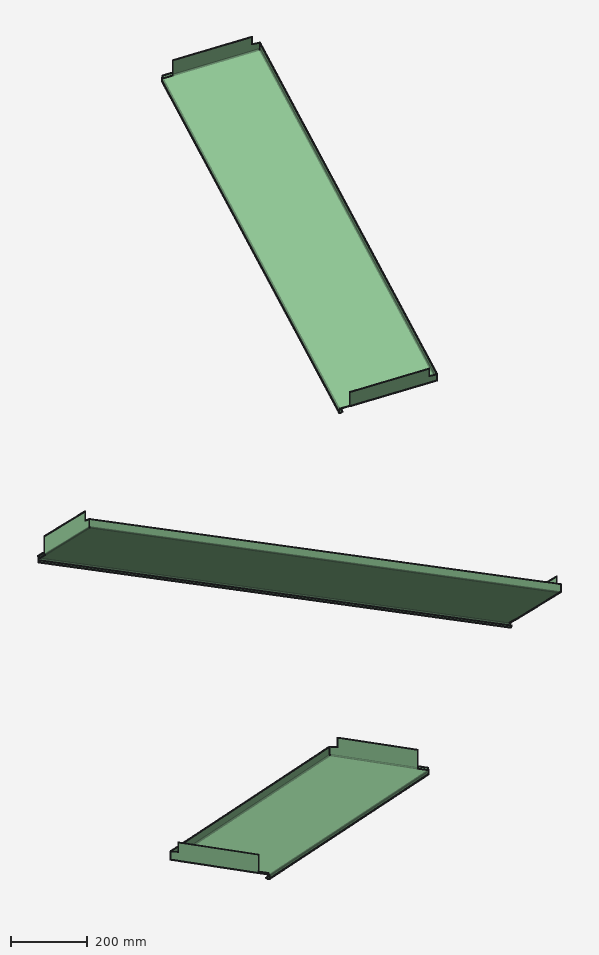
import math

import cadquery as cq

overall_width = 1414.8
overall_depth = 271.18
overall_height = 83.59

sheet = 1.0
inner_bend = 1.5
outer_bend = inner_bend + sheet

slope_angle = math.radians(5)
tray_width = 1410.0
tray_front = 30.0
back_step = 22.0
back_flange_top = 58.0

floor_front_height = 12.8
end_flange_rise = 5.0
end_flange_angle = math.radians(40)
return_length = 7.0
return_rise_angle = math.radians(30)

wall_back = overall_depth - back_step
floor_slope = math.tan(slope_angle)
vertical_sheet = sheet / math.cos(slope_angle)


def floor_top(y):
    """Height of the upper floor face at depth y."""
    return floor_front_height + y * floor_slope


def floor_bottom(y):
    """Height of the lower floor face at depth y."""
    return floor_top(y) - vertical_sheet


def wall_top(y):
    """Height of the side wall's upper edge, parallel to the floor."""
    return overall_height - (wall_back - y) * floor_slope


def side_prism(points, width):
    """Extrude a (y, z) outline along X, centred on X = 0."""
    return cq.Workplane("YZ").polyline(points).close().extrude(width / 2, both=True)


def floor_prism(front, back, upper_edge, width, floor_height, bend):
    """Solid above the sloping floor, rounded along the bottom of its sides and back."""
    outline = [(front, floor_height(front)), (back, floor_height(back))] + upper_edge
    prism = side_prism(outline, width)
    return prism.faces("<Z").edges("not(<Y)").fillet(bend)


def make_tray():
    upper_edge = [
        (overall_depth, back_flange_top),
        (wall_back, back_flange_top),
        (wall_back, wall_top(wall_back)),
        (tray_front, wall_top(tray_front)),
    ]
    outer = floor_prism(tray_front, overall_depth, upper_edge, tray_width, floor_bottom, outer_bend)

    hollow_back = overall_depth - sheet
    hollow_edge = [(hollow_back, overall_height), (0, overall_height)]
    hollow_width = tray_width - 2 * sheet
    hollow = floor_prism(0, hollow_back, hollow_edge, hollow_width, floor_top, inner_bend)
    return outer.cut(hollow)


def make_strip_floor():
    """Floor ahead of the side walls, with a short flange angled up at each end."""
    end_run = end_flange_rise / math.tan(end_flange_angle)
    half_width = overall_width / 2
    half_floor = half_width - end_run
    tip_drop = sheet / math.cos(end_flange_angle)
    root_shift = sheet * math.tan(end_flange_angle / 2)

    right_half = [
        (half_floor + root_shift, -sheet),
        (half_width, end_flange_rise - tip_drop),
        (half_width, end_flange_rise),
        (half_floor, 0),
    ]
    left_half = [(-x, z) for x, z in reversed(right_half)]

    section = cq.Plane(
        origin=(0, tray_front, floor_top(tray_front)),
        xDir=(1, 0, 0),
        normal=(0, -math.cos(slope_angle), -math.sin(slope_angle)),
    )
    length = (tray_front - outer_bend) / math.cos(slope_angle)
    return cq.Workplane(section).polyline(right_half + left_half).close().extrude(length)


def make_lip():
    """Downturned lip with the folded return, as one bent strip of sheet."""
    upper_centre = floor_top(outer_bend) - outer_bend / math.cos(slope_angle)
    lower_centre = outer_bend
    floor_overlap = outer_bend + sheet

    def around(centre_z, radius, angle):
        """Point at the given angle on a bend centred at y = outer_bend."""
        return (outer_bend + radius * math.cos(angle), centre_z + radius * math.sin(angle))

    lip_side = math.pi
    floor_side = math.pi / 2 + slope_angle
    return_side = 3 * math.pi / 2 + return_rise_angle
    upper_middle = (lip_side + floor_side) / 2
    lower_middle = (lip_side + return_side) / 2

    def return_tip(radius):
        """End of the return on the face that leaves the bend at this radius."""
        y, z = around(lower_centre, radius, return_side)
        return (
            y + return_length * math.cos(return_rise_angle),
            z + return_length * math.sin(return_rise_angle),
        )

    return (
        cq.Workplane("YZ")
        .moveTo(floor_overlap, floor_top(floor_overlap))
        .lineTo(*around(upper_centre, outer_bend, floor_side))
        .threePointArc(
            around(upper_centre, outer_bend, upper_middle),
            around(upper_centre, outer_bend, lip_side),
        )
        .lineTo(*around(lower_centre, outer_bend, lip_side))
        .threePointArc(
            around(lower_centre, outer_bend, lower_middle),
            around(lower_centre, outer_bend, return_side),
        )
        .lineTo(*return_tip(outer_bend))
        .lineTo(*return_tip(inner_bend))
        .lineTo(*around(lower_centre, inner_bend, return_side))
        .threePointArc(
            around(lower_centre, inner_bend, lower_middle),
            around(lower_centre, inner_bend, lip_side),
        )
        .lineTo(*around(upper_centre, inner_bend, lip_side))
        .threePointArc(
            around(upper_centre, inner_bend, upper_middle),
            around(upper_centre, inner_bend, floor_side),
        )
        .lineTo(floor_overlap, floor_bottom(floor_overlap))
        .close()
        .extrude(tray_width / 2, both=True)
    )


result = make_tray().union(make_strip_floor()).union(make_lip())